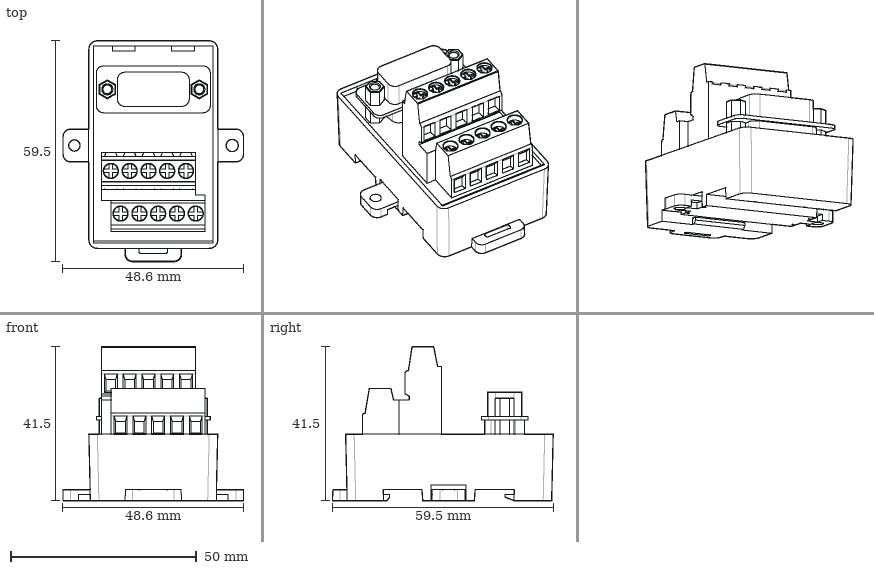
import cadquery as cq
import math


RIM_X = 34.75
RIM_Y = 55.95
HOUSING_H = 18.0
DRAFT = 0.4
CORNER_R = 2.3
RECESS_X = 32.1
RECESS_Y = 52.95
RECESS_DEPTH = 1.6
LIP_W = 0.6
LIP_DROP = 0.3

RAMP_W = 6.1
RAMP_REACH = 1.3
RAMP_X = 8.0

CHANNEL_H = 3.05
CHANNEL_SLANT = 0.25
BACK_CHANNEL = (6.7, 17.45)
FRONT_CHANNEL = (-7.2, -17.8)
HOOK_W = 15.25
HOOK_TOP = 1.7
HOOK_TIP_BOTTOM = 0.95
BACK_HOOK_REACH = 2.5
FRONT_HOOK_REACH = 1.7
FRONT_HOOK_FLAT = 0.95

LUG_SPAN = 48.6
LUG_Y = -0.25
LUG_W = 8.85
LUG_R = 2.1
LUG_H = 3.05
LUG_HOLE_X = 21.25
LEFT_HOLE_D = 3.0
RIGHT_HOLE_D = 3.2
LUG_POCKET_END = 20.2
LUG_POCKET_H = 1.65
LUG_RIB_W = 3.75
NOTCH_CLEARANCE = 0.25
NOTCH_TOP = 4.1

TAB_W = HOOK_W
TAB_END_Y = -31.55
TAB_R = 2.0
TAB_TAPER = 3.0
TAB_SLOT_W = 7.6
TAB_SLOT_START_Y = -27.8
TAB_SLOT_END_Y = -29.3
TAB_SLOT_R = 0.4

DSUB_Y = 14.9
FLANGE_X = 30.7
FLANGE_Y = 12.6
FLANGE_R = 1.95
FLANGE_BOTTOM = 21.7
FLANGE_TOP = 22.75
SHELL_X = 19.4
SHELL_Y = 9.2
SHELL_R = 2.1
SHELL_TOP = 29.3
BASE_Y = 10.8
BASE_R = 2.1
BASE_SLANT = 10
STUD_X = 12.4
STUD_FLATS = 4.4
STUD_TOP = 27.7
STUD_CHAMFER = 0.2
STUD_MOUTH_D = 3.0
STUD_BORE_D = 2.4
STUD_BORE_DEPTH = 4.75

POLES = 5
PITCH = 5.05
ROW_W = 25.35
ROW_SHIFT = 1.3
STEP_Z = 27.15
STEP_BACK_Y = -13.5
STEP_FRONT_Y = -15.0
SCREW_D = 3.85
SCREW_MOUTH_D = 4.1
SCREW_SLOT_W = 0.95
SCREW_SLOT_DEPTH = 0.5
UPPER_TOP = 41.5
UPPER_CHAMFER = 0.2
UPPER_TOP_BACK_Y = -4.15
UPPER_TOP_FRONT_Y = -10.1
UPPER_SHOULDER_Y = -11.05
UPPER_SHOULDER_Z = 35.05
UPPER_NECK_Y = -10.85
UPPER_OVERHANG_Z = 28.8
UPPER_NECK_Z = 28.15
UPPER_FACE_Y = -12.0
UPPER_ENTRY_TOP = 34.1
UPPER_SCREW_Y = -7.1
UPPER_SCREW_DEPTH = 0.9
LOWER_TOP = 30.25
LOWER_TOP_BACK_Y = -15.7
LOWER_TOP_FRONT_Y = -21.6
LOWER_SHOULDER_Y = -22.75
LOWER_SHOULDER_Z = 23.55
LOWER_FACE_Y = -23.45
LOWER_ENTRY_TOP = 22.85
LOWER_SCREW_Y = -18.55
LOWER_SCREW_DEPTH = 1.8
ENTRY_W = 3.45
ENTRY_H = 5.0
UPPER_ENTRY_DEPTH = 1.65
LOWER_ENTRY_DEPTH = 0.95
ENTRY_INNER_W = 2.6
ENTRY_CEILING_DROP = 1.5
ENTRY_FLOOR_RISE = 0.4
LEDGE_Z = 36.2
LEDGE_BACK_Y = -2.1
LEDGE_FRONT_Y = -3.15
DOVETAIL_BACK_W = 2.5
DOVETAIL_FRONT_W = 3.45
DOVETAIL_DEPTH = 0.6

FLOOR_Z = HOUSING_H - RECESS_DEPTH
BOTTOM_X = RIM_X - 2 * DRAFT
BOTTOM_Y = RIM_Y - 2 * DRAFT
WALL_X = BOTTOM_X / 2
WALL_Y = BOTTOM_Y / 2
NOTCH_INNER_X = WALL_X - (NOTCH_TOP - LUG_H)
RECESS_BACK_Y = RECESS_Y / 2


def box(x_range, y_range, z_range):
    """Block between two places along each axis."""
    sizes = [abs(b - a) for a, b in (x_range, y_range, z_range)]
    corner = [min(a, b) for a, b in (x_range, y_range, z_range)]
    return cq.Workplane("XY", origin=tuple(corner)).box(*sizes, centered=False)


def rounded_plate(size_x, size_y, radius, bottom, top, center=(0, 0)):
    """Upright block with rounded vertical edges."""
    return (
        cq.Workplane("XY", origin=(center[0], center[1], bottom))
        .rect(size_x, size_y)
        .extrude(top - bottom)
        .edges("|Z")
        .fillet(radius)
    )


def side_prism(points, width, center_x=0):
    """Prism along X over an outline of (Y, Z) points."""
    plane = cq.Workplane("YZ", origin=(center_x - width / 2, 0, 0))
    return plane.polyline(points).close().extrude(width)


def housing_shell():
    """Drafted case with a shallow recess on top."""
    bottom = cq.Sketch().rect(BOTTOM_X, BOTTOM_Y).vertices().fillet(CORNER_R)
    rim = cq.Sketch().rect(RIM_X, RIM_Y).vertices().fillet(CORNER_R)
    rim_place = cq.Location(cq.Vector(0, 0, HOUSING_H))
    case = cq.Workplane("XY").placeSketch(bottom, rim.moved(rim_place)).loft()
    recess = cq.Workplane("XY", origin=(0, 0, FLOOR_Z)).rect(RECESS_X, RECESS_Y).extrude(RECESS_DEPTH)
    return case.cut(recess)


def recess_lip():
    front = -RECESS_BACK_Y
    outline = [
        (front, FLOOR_Z),
        (front, HOUSING_H),
        (front + LIP_W, HOUSING_H - LIP_DROP),
        (front + LIP_W, FLOOR_Z),
    ]
    return side_prism(outline, RECESS_X)


def snap_ramp(center_x):
    outline = [
        (RECESS_BACK_Y, FLOOR_Z),
        (RECESS_BACK_Y, HOUSING_H),
        (RECESS_BACK_Y - RAMP_REACH, FLOOR_Z),
    ]
    return side_prism(outline, RAMP_W, center_x)


def rail_channel(foot_y, end_y, lean):
    outline = [(foot_y, 0), (foot_y + lean, CHANNEL_H), (end_y, CHANNEL_H), (end_y, 0)]
    return side_prism(outline, RIM_X)


def back_hook():
    root = BACK_CHANNEL[1]
    tip = root - BACK_HOOK_REACH
    outline = [(root, 0), (root, HOOK_TOP), (tip, HOOK_TOP), (tip, HOOK_TIP_BOTTOM)]
    return side_prism(outline, HOOK_W)


def front_hook():
    root = FRONT_CHANNEL[1]
    tip = root + FRONT_HOOK_REACH
    outline = [
        (root, 0),
        (root, HOOK_TOP),
        (tip, HOOK_TOP),
        (tip, HOOK_TIP_BOTTOM),
        (root + FRONT_HOOK_FLAT, 0),
    ]
    return side_prism(outline, HOOK_W)


def lug_notch(side):
    """Notch in a side wall around a lug, with a ceiling that slopes down inward."""
    outer_x = RIM_X / 2
    ceiling_end = NOTCH_TOP + outer_x - WALL_X
    outline = [
        (side * NOTCH_INNER_X, 0),
        (side * outer_x, 0),
        (side * outer_x, ceiling_end),
        (side * NOTCH_INNER_X, LUG_H),
    ]
    width = LUG_W + 2 * NOTCH_CLEARANCE
    plane = cq.Workplane("XZ", origin=(0, LUG_Y + width / 2, 0))
    return plane.polyline(outline).close().extrude(width)


def lug(side, hole_d):
    """Mounting ear with a screw hole and a pocket on both sides of a rib underneath."""
    outer_x = side * LUG_SPAN / 2
    y_range = (LUG_Y - LUG_W / 2, LUG_Y + LUG_W / 2)
    ear = box((side * NOTCH_INNER_X, outer_x), y_range, (0, LUG_H))
    ear = ear.edges("|Z").edges(">X" if side > 0 else "<X").fillet(LUG_R)
    hole = cq.Workplane("XY", origin=(side * LUG_HOLE_X, LUG_Y, 0)).circle(hole_d / 2).extrude(LUG_H)
    ear = ear.cut(hole)
    for edge_y, rib_y in ((y_range[0], LUG_Y - LUG_RIB_W / 2), (y_range[1], LUG_Y + LUG_RIB_W / 2)):
        ear = ear.cut(box((side * WALL_X, side * LUG_POCKET_END), (edge_y, rib_y), (0, LUG_POCKET_H)))
    return ear


def release_tab():
    """Finger tab that sticks out at the -Y end."""
    root_y = -WALL_Y + CORNER_R
    length = root_y - TAB_END_Y
    return (
        cq.Workplane("XY", origin=(0, root_y - length / 2, 0))
        .sketch()
        .rect(TAB_W, length)
        .vertices("<Y")
        .fillet(TAB_R)
        .finalize()
        .extrude(CHANNEL_H, taper=TAB_TAPER)
    )


def tab_slot():
    slot = box((-TAB_SLOT_W / 2, TAB_SLOT_W / 2), (TAB_SLOT_END_Y, TAB_SLOT_START_Y), (0, CHANNEL_H))
    return slot.edges("|Z").fillet(TAB_SLOT_R)


def make_housing():
    body = release_tab().union(housing_shell()).union(recess_lip()).cut(tab_slot())
    for side in (-1, 1):
        body = body.union(snap_ramp(side * RAMP_X))
    body = body.cut(rail_channel(*BACK_CHANNEL, CHANNEL_SLANT))
    body = body.cut(rail_channel(*FRONT_CHANNEL, -CHANNEL_SLANT))
    body = body.union(back_hook()).union(front_hook())
    for side, hole_d in ((-1, LEFT_HOLE_D), (1, RIGHT_HOLE_D)):
        body = body.cut(lug_notch(side)).union(lug(side, hole_d))
    return body


def hex_stud(center_x):
    """Hexagonal standoff with points toward +Y and -Y."""
    corner_d = STUD_FLATS / math.cos(math.pi / 6)
    height = STUD_TOP - FLOOR_Z
    return (
        cq.Workplane("XY", origin=(center_x, DSUB_Y, FLOOR_Z))
        .transformed(rotate=(0, 0, 90))
        .polygon(6, corner_d)
        .extrude(height)
        .faces(">Z")
        .chamfer(STUD_CHAMFER)
    )


def stud_bore(center_x):
    bore = (
        cq.Workplane("XY", origin=(center_x, DSUB_Y, STUD_TOP))
        .circle(STUD_BORE_D / 2)
        .extrude(-STUD_BORE_DEPTH)
    )
    mouth_depth = (STUD_MOUTH_D - STUD_BORE_D) / 2
    mouth = cq.Solid.makeCone(
        STUD_BORE_D / 2,
        STUD_MOUTH_D / 2,
        mouth_depth,
        cq.Vector(center_x, DSUB_Y, STUD_TOP - mouth_depth),
    )
    return bore.union(cq.Workplane(mouth))


def dsub_base():
    """D-shaped lower body, as wide as the shell at mid depth."""
    half_y = BASE_Y / 2
    lean = half_y * math.tan(math.radians(BASE_SLANT))
    wide_x = SHELL_X / 2 + lean
    narrow_x = SHELL_X / 2 - lean
    outline = [(-wide_x, half_y), (wide_x, half_y), (narrow_x, -half_y), (-narrow_x, -half_y)]
    plane = cq.Workplane("XY", origin=(0, DSUB_Y, FLOOR_Z))
    base = plane.polyline(outline).close().extrude(FLANGE_BOTTOM - FLOOR_Z)
    return base.edges("|Z").fillet(BASE_R)


def make_dsub_connector():
    center = (0, DSUB_Y)
    body = dsub_base()
    body = body.union(rounded_plate(FLANGE_X, FLANGE_Y, FLANGE_R, FLANGE_BOTTOM, FLANGE_TOP, center))
    body = body.union(rounded_plate(SHELL_X, SHELL_Y, SHELL_R, FLANGE_TOP, SHELL_TOP, center))
    for side in (-1, 1):
        body = body.union(hex_stud(side * STUD_X)).cut(stud_bore(side * STUD_X))
    return body


def upper_row():
    """Tall rear row, with a ledge at the back and a step toward the lower row."""
    shoulder_r = UPPER_SHOULDER_Y - UPPER_FACE_Y
    chamfer_z = UPPER_TOP - UPPER_CHAMFER
    outline = (
        cq.Workplane("YZ", origin=(-ROW_SHIFT - ROW_W / 2, 0, 0))
        .moveTo(LEDGE_BACK_Y, FLOOR_Z)
        .lineTo(LEDGE_BACK_Y, LEDGE_Z)
        .lineTo(LEDGE_FRONT_Y, LEDGE_Z)
        .lineTo(UPPER_TOP_BACK_Y, chamfer_z)
        .lineTo(UPPER_TOP_BACK_Y - UPPER_CHAMFER, UPPER_TOP)
        .lineTo(UPPER_TOP_FRONT_Y + UPPER_CHAMFER, UPPER_TOP)
        .lineTo(UPPER_TOP_FRONT_Y, chamfer_z)
        .lineTo(UPPER_SHOULDER_Y, UPPER_SHOULDER_Z)
        .radiusArc((UPPER_FACE_Y, UPPER_ENTRY_TOP), -shoulder_r)
        .lineTo(UPPER_FACE_Y, UPPER_OVERHANG_Z)
        .lineTo(UPPER_NECK_Y, UPPER_NECK_Z)
        .lineTo(UPPER_NECK_Y, STEP_Z)
        .lineTo(STEP_FRONT_Y, STEP_Z)
        .lineTo(STEP_FRONT_Y, FLOOR_Z)
        .close()
    )
    return outline.extrude(ROW_W)


def lower_row():
    """Low front row."""
    shoulder_r = LOWER_SHOULDER_Y - LOWER_FACE_Y
    outline = (
        cq.Workplane("YZ", origin=(ROW_SHIFT - ROW_W / 2, 0, 0))
        .moveTo(STEP_BACK_Y, FLOOR_Z)
        .lineTo(STEP_BACK_Y, STEP_Z)
        .lineTo(STEP_FRONT_Y, STEP_Z)
        .lineTo(LOWER_TOP_BACK_Y, LOWER_TOP)
        .lineTo(LOWER_TOP_FRONT_Y, LOWER_TOP)
        .lineTo(LOWER_SHOULDER_Y, LOWER_SHOULDER_Z)
        .radiusArc((LOWER_FACE_Y, LOWER_ENTRY_TOP), -shoulder_r)
        .lineTo(LOWER_FACE_Y, FLOOR_Z)
        .close()
    )
    return outline.extrude(ROW_W)


def wire_entry(center_x, face_y, entry_top, depth):
    """Rectangular funnel that narrows toward +Y."""
    inner_h = ENTRY_H - ENTRY_CEILING_DROP - ENTRY_FLOOR_RISE
    inner_shift = (ENTRY_FLOOR_RISE - ENTRY_CEILING_DROP) / 2
    return (
        cq.Workplane("XZ", origin=(center_x, face_y, entry_top - ENTRY_H / 2))
        .rect(ENTRY_W, ENTRY_H)
        .workplane(offset=-depth)
        .center(0, inner_shift)
        .rect(ENTRY_INNER_W, inner_h)
        .loft(ruled=True)
    )


def screw_recess(center_x, center_y, top, depth):
    """Round well, chamfered at its mouth, with a screw head at its floor, cut by a cross slot."""
    floor = top - depth
    mouth_depth = (SCREW_MOUTH_D - SCREW_D) / 2
    mouth = cq.Solid.makeCone(
        SCREW_D / 2,
        SCREW_MOUTH_D / 2,
        mouth_depth,
        cq.Vector(center_x, center_y, top - mouth_depth),
    )
    well_plane = cq.Workplane("XY", origin=(center_x, center_y, floor))
    recess = well_plane.circle(SCREW_D / 2).extrude(depth).union(cq.Workplane(mouth))
    for slot_x, slot_y in ((SCREW_D, SCREW_SLOT_W), (SCREW_SLOT_W, SCREW_D)):
        recess = recess.union(well_plane.rect(slot_x, slot_y).extrude(-SCREW_SLOT_DEPTH))
    return recess


def dovetail_pocket(center_x):
    """Shallow trapezoid pocket in the rear ledge."""
    outline = [
        (-DOVETAIL_BACK_W / 2, LEDGE_BACK_Y),
        (DOVETAIL_BACK_W / 2, LEDGE_BACK_Y),
        (DOVETAIL_FRONT_W / 2, LEDGE_FRONT_Y),
        (-DOVETAIL_FRONT_W / 2, LEDGE_FRONT_Y),
    ]
    plane = cq.Workplane("XY", origin=(center_x, 0, LEDGE_Z))
    return plane.polyline(outline).close().extrude(-DOVETAIL_DEPTH)


def make_terminal_block():
    block = upper_row().union(lower_row())
    for pole in range(POLES):
        offset = (pole - (POLES - 1) / 2) * PITCH
        upper_x = offset - ROW_SHIFT
        lower_x = offset + ROW_SHIFT
        block = block.cut(wire_entry(upper_x, UPPER_FACE_Y, UPPER_ENTRY_TOP, UPPER_ENTRY_DEPTH))
        block = block.cut(wire_entry(lower_x, LOWER_FACE_Y, LOWER_ENTRY_TOP, LOWER_ENTRY_DEPTH))
        block = block.cut(screw_recess(upper_x, UPPER_SCREW_Y, UPPER_TOP, UPPER_SCREW_DEPTH))
        block = block.cut(screw_recess(lower_x, LOWER_SCREW_Y, LOWER_TOP, LOWER_SCREW_DEPTH))
        block = block.cut(dovetail_pocket(upper_x))
    return block


housing = make_housing()
dsub_connector = make_dsub_connector()
terminal_block = make_terminal_block()

result = cq.Compound.makeCompound([housing.val(), dsub_connector.val(), terminal_block.val()])